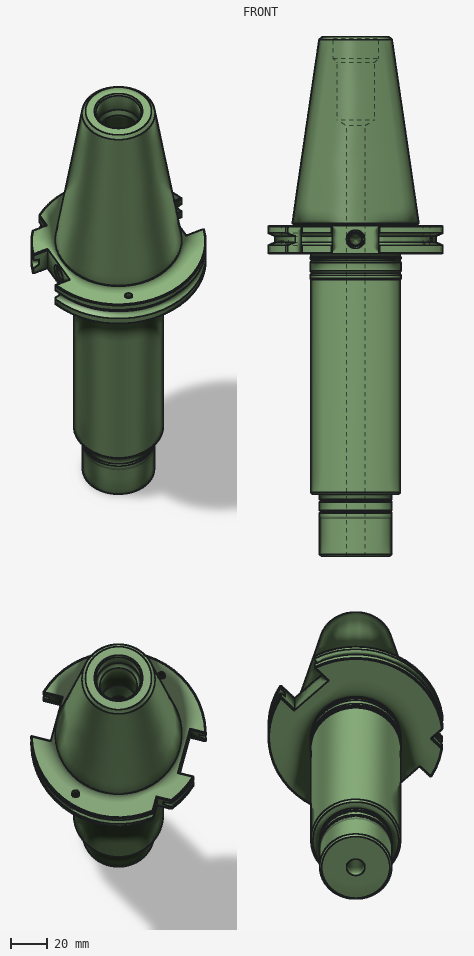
import cadquery as cq
import math


total_length = 288.5

gauge_diameter = 69.8
taper_length = 102.0
taper_ratio = 7 / 24
taper_end_chamfer = 1.7

taper_base = -1.7
undercut_diameter = 68.7

flange_diameter = 97.3
flange_top = -3.2
flange_thickness = 15.5
flange_edge_chamfer = 0.5
v_groove_depth = 3.8
v_groove_floor_width = 3.5
v_groove_mouth_width = 7.0
v_groove_center = -10.7

shank_diameter = 50.0
shank_end = -152.5
shank_chamfer = 1.2
nose_diameter = 40.0
nose_chamfer = 1.2

collar_chamfer_length = 1.0
ring_groove_depth = 1.0
shank_collar_diameter = 50.5
shank_collar_top = -20.2
shank_collar_bottom = -33.2
shank_ring_grooves = (-22.5, -29.5)
shank_ring_groove_width = 2.3
nose_collar_diameter = 40.5
nose_collar_top = -154.0
nose_collar_bottom = -165.7
nose_ring_grooves = (-155.8, -162.0)
nose_ring_groove_width = 1.7

slot_width = 25.7
back_slot_floor = 35.5
front_slot_floor = 37.5
notch_corner = 30.0

drill_point_angle = 118

bore_mouth_chamfer = 1.0
pilot_diameter = 25.0
pilot_depth = 12.0
thread_diameter = 20.8
thread_depth = 46.2
through_diameter = 10.0

slot_hole_diameter = 7.0
slot_hole_mouth_diameter = 10.0
slot_hole_thread_diameter = 8.0
slot_hole_thread_depth = 3.0
slot_hole_depth = 7.2

port_diameter = 4.0
port_radius = 41.8
port_angles = (160, -20)
port_feed_diameter = 3.2
port_overrun = 0.5

taper_top = taper_length
bottom = taper_top - total_length
flange_bottom = flange_top - flange_thickness
flange_radius = flange_diameter / 2


def revolve_profile(points):
    """Solid of revolution about Z from (radius, height) points."""
    return cq.Workplane("XZ").polyline(points).close().revolve(360, (0, 0, 0), (0, 1, 0))


def drill_cone_height(radius_change):
    return radius_change / math.tan(math.radians(drill_point_angle / 2))


def make_taper():
    def radius_at(height):
        return (gauge_diameter - height * taper_ratio) / 2

    undercut_radius = undercut_diameter / 2
    base_radius = radius_at(taper_base)
    bevel = base_radius - undercut_radius
    return revolve_profile([
        (0, taper_top),
        (radius_at(taper_top) - taper_end_chamfer, taper_top),
        (radius_at(taper_top - taper_end_chamfer), taper_top - taper_end_chamfer),
        (base_radius, taper_base),
        (undercut_radius, taper_base - bevel),
        (undercut_radius, flange_top),
        (0, flange_top),
    ])


def make_flange():
    """Disc with two drive slots and a corner notch, edges chamfered, then V-grooved."""
    disc = cq.Workplane("XY").workplane(offset=flange_bottom).circle(flange_radius)
    flange = disc.extrude(flange_thickness)

    def cutter(x_min, x_max, y_min, y_max):
        block = cq.Workplane("XY").workplane(offset=flange_bottom)
        block = block.center((x_min + x_max) / 2, (y_min + y_max) / 2)
        return block.rect(x_max - x_min, y_max - y_min).extrude(flange_thickness)

    half_slot = slot_width / 2
    flange = flange.cut(cutter(-half_slot, half_slot, back_slot_floor, flange_diameter))
    flange = flange.cut(cutter(-half_slot, half_slot, -flange_diameter, -front_slot_floor))
    flange = flange.cut(cutter(-flange_diameter, -notch_corner, -flange_diameter, -notch_corner))

    def is_chamfered(edge):
        center = edge.Center()
        is_vertical = abs(center.z - (flange_top + flange_bottom) / 2) < flange_thickness / 4
        if is_vertical:
            return math.hypot(center.x, center.y) > flange_radius - flange_edge_chamfer
        is_slot_floor = edge.geomType() == "LINE" and abs(center.x) < half_slot / 2
        return not is_slot_floor

    edges = [edge for edge in flange.edges().vals() if is_chamfered(edge)]
    flange = flange.newObject(edges).chamfer(flange_edge_chamfer)
    return flange.cut(make_v_groove())


def make_v_groove():
    floor_radius = flange_radius - v_groove_depth
    flank_slope = (v_groove_mouth_width - v_groove_floor_width) / 2 / v_groove_depth
    outer_radius = flange_radius + v_groove_depth
    half_floor = v_groove_floor_width / 2
    half_outer = half_floor + flank_slope * (outer_radius - floor_radius)
    return revolve_profile([
        (floor_radius, v_groove_center + half_floor),
        (outer_radius, v_groove_center + half_outer),
        (outer_radius, v_groove_center - half_outer),
        (floor_radius, v_groove_center - half_floor),
    ])


def make_cylinder(diameter, top, end, end_chamfer):
    radius = diameter / 2
    return revolve_profile([
        (0, top),
        (radius, top),
        (radius, end + end_chamfer),
        (radius - end_chamfer, end),
        (0, end),
    ])


def add_collar(body, base_diameter, diameter, top, end, groove_centers, groove_width):
    """Raise a chamfered collar on the body and cut its V-shaped ring grooves."""
    base_radius = base_diameter / 2
    radius = diameter / 2
    collar = revolve_profile([
        (0, top),
        (base_radius, top),
        (radius, top - collar_chamfer_length),
        (radius, end + collar_chamfer_length),
        (base_radius, end),
        (0, end),
    ])
    body = body.union(collar)
    for center in groove_centers:
        body = body.cut(revolve_profile([
            (radius, center + groove_width / 2),
            (radius - ring_groove_depth, center),
            (radius, center - groove_width / 2),
        ]))
    return body


def make_bore():
    pilot_radius = pilot_diameter / 2
    thread_radius = thread_diameter / 2
    through_radius = through_diameter / 2
    pilot_end = taper_top - pilot_depth
    thread_end = taper_top - thread_depth
    return revolve_profile([
        (0, taper_top),
        (pilot_radius + bore_mouth_chamfer, taper_top),
        (pilot_radius, taper_top - bore_mouth_chamfer),
        (pilot_radius, pilot_end),
        (thread_radius, pilot_end - (pilot_radius - thread_radius)),
        (thread_radius, thread_end),
        (through_radius, thread_end - drill_cone_height(thread_radius - through_radius)),
        (through_radius, bottom),
        (0, bottom),
    ])


def make_slot_hole():
    mouth_radius = slot_hole_mouth_diameter / 2
    thread_radius = slot_hole_thread_diameter / 2
    hole_radius = slot_hole_diameter / 2
    hole = revolve_profile([
        (0, 0),
        (mouth_radius, 0),
        (thread_radius, -(mouth_radius - thread_radius)),
        (thread_radius, -slot_hole_thread_depth),
        (hole_radius, -slot_hole_thread_depth),
        (hole_radius, -slot_hole_depth),
        (0, -slot_hole_depth - drill_cone_height(hole_radius)),
    ])
    hole = hole.rotate((0, 0, 0), (1, 0, 0), 90)
    return hole.translate((0, -front_slot_floor, v_groove_center))


def make_coolant_port(angle):
    """Axial port with a conical end just past its radial feed hole."""
    radius = port_diameter / 2
    port_end = v_groove_center - port_feed_diameter / 2 - port_overrun
    port = revolve_profile([
        (0, flange_top),
        (radius, flange_top),
        (radius, port_end),
        (0, port_end - drill_cone_height(radius)),
    ])
    port = port.translate((port_radius, 0, 0))
    feed = cq.Workplane("YZ").workplane(offset=port_radius).center(0, v_groove_center)
    feed = feed.circle(port_feed_diameter / 2).extrude(flange_radius - port_radius)
    return port.union(feed).rotate((0, 0, 0), (0, 0, 1), angle)


result = make_taper().union(make_flange())
result = result.union(make_cylinder(shank_diameter, flange_bottom, shank_end, shank_chamfer))
result = result.union(make_cylinder(nose_diameter, shank_end, bottom, nose_chamfer))
result = add_collar(
    result, shank_diameter, shank_collar_diameter, shank_collar_top, shank_collar_bottom,
    shank_ring_grooves, shank_ring_groove_width,
)
result = add_collar(
    result, nose_diameter, nose_collar_diameter, nose_collar_top, nose_collar_bottom,
    nose_ring_grooves, nose_ring_groove_width,
)
result = result.cut(make_bore())
result = result.cut(make_slot_hole())
for port_angle in port_angles:
    result = result.cut(make_coolant_port(port_angle))